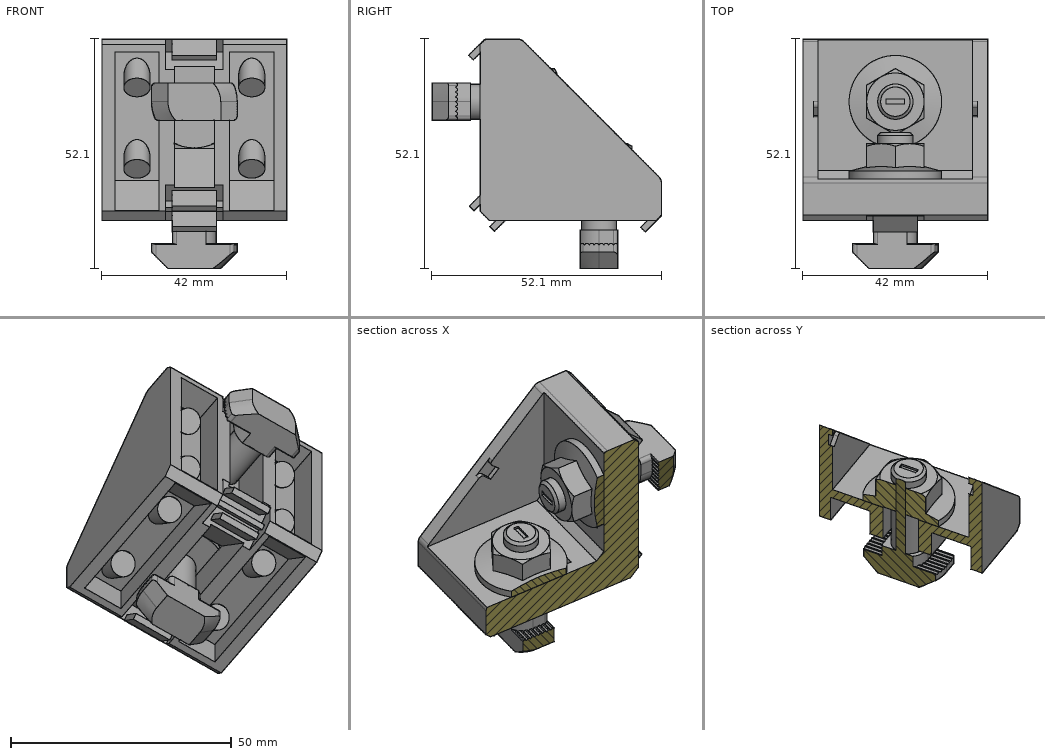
import cadquery as cq
import math


ROOT2 = math.sqrt(2)
CLEAR = 2.6

LEG = 41.2
WIDTH = 42.0
WALL = 9.45
TOE_BLOCK = 9.3
TOE_FILLET = 2.0
TOE_CHAMFER = 1.25
HEEL_CHAMFER = 2.15
CAVITY_HALF_WIDTH = 17.5
CAVITY_CORNER_CHAMFER = 1.95

NOTCH_WIDTH = 3.1
NOTCH_DEPTH = 3.5
NOTCH_SIDE_DEPTH = 1.1
NOTCH_LIP_RADIUS = 1.0

POCKET_WIDTH = 10.0
POCKET_CENTRE_X = 13.0
POCKET_DEPTH = 6.75
POCKET_START = 2.35
POCKET_END = 38.25
PEG_DIAMETER = 6.0
PEG_LENGTH = 10.4
PEGS = [(24.45, 18.3), (11.4, 5.2)]

SLOT_WIDTH = 9.05
SLOT_START = 7.0
SLOT_END = 35.0

TAB_WIDTH = 10.1
TAB_THICKNESS = 1.5
TAB_LENGTH = 5.1
RECESS_WIDTH = 13.0
RECESS_REACH = 10.4
TABS = [(29.8, 27.6, 24.3), (5.7, 3.3, 0.6)]

HEEL_RIDGE = 3.6

BOLT_POSITION = 27.0
SHANK_DIAMETER = 8.0
SHANK_TIP = 20.0
TIP_DIAMETER = 6.65
NECK_TOP = -2.15
NECK_HALF_LENGTH = 5.0
HEAD_TOP = -5.15
HEAD_BOTTOM = LEG - 52.1
HEAD_HALF_LENGTH = 9.75
HEAD_HALF_WIDTH = 4.25
HEAD_CHAMFER = 3.75
CORNER_FILLET = 1.0
TOOTH_PITCH = 1.1
TOOTH_DEPTH = 0.35
TOOTH_GROOVES = 9
MARK_LENGTH = 4.2
MARK_WIDTH = 1.15
MARK_DEPTH = 0.5

FLANGE_DIAMETER = 21.0
FLANGE_RIM = 1.75
FLANGE_SLOPE = 15.0
NUT_HEIGHT = 8.0
NUT_ACROSS_FLATS = 13.0
NUT_CHAMFER_ANGLE = 30.0
HEX_HALF_ANGLE = 30.0


def diagonal_point(along, across):
    """(y, z) of a point measured along and across the diagonal Y = Z from the heel."""
    return ((along - across) / ROOT2, (along + across) / ROOT2)


def diagonal_rectangle(along_start, along_end, across_start, across_end):
    return [
        diagonal_point(along_start, across_start),
        diagonal_point(along_end, across_start),
        diagonal_point(along_end, across_end),
        diagonal_point(along_start, across_end),
    ]


def prism(points, width, centre_x=0.0):
    """Prism along X with a (y, z) outline."""
    solid = cq.Workplane("YZ").polyline(points).close().extrude(width / 2, both=True)
    return solid.translate((centre_x, 0, 0))


def swap(points):
    """Mirror (y, z) points about the diagonal."""
    return [(z, y) for y, z in points]



def bracket_blank():
    toe = LEG - TOE_CHAMFER
    outline = [
        (0, HEEL_CHAMFER), (0, toe), (TOE_CHAMFER, LEG), (TOE_BLOCK, LEG),
        (LEG, TOE_BLOCK), (LEG, TOE_CHAMFER), (toe, 0), (HEEL_CHAMFER, 0),
    ]
    blank = prism(outline, WIDTH)
    for y, z in [(TOE_BLOCK, LEG), (LEG, TOE_BLOCK)]:
        edge = cq.selectors.NearestToPointSelector((0, y, z))
        blank = blank.edges("|X").edges(edge).fillet(TOE_FILLET)
    return blank


def cavity():
    inner = WALL + CAVITY_CORNER_CHAMFER
    outside = LEG + CLEAR
    outline = [(WALL, inner), (WALL, outside), (outside, outside), (outside, WALL), (inner, WALL)]
    return prism(outline, 2 * CAVITY_HALF_WIDTH)


def edge_notch():
    """Slot across the middle of the sloping edge, flared by a rounded lip on both sides."""
    edge = (LEG + TOE_BLOCK) / ROOT2
    half = NOTCH_WIDTH / 2
    lip = NOTCH_LIP_RADIUS
    lip_middle = lip * (1 - math.sqrt(0.5))
    lip_depth = edge - lip
    outer = half + lip
    outline = (
        cq.Workplane("YZ")
        .moveTo(*diagonal_point(edge - NOTCH_DEPTH, -half))
        .lineTo(*diagonal_point(lip_depth, -half))
        .threePointArc(diagonal_point(edge - lip_middle, -half - lip_middle), diagonal_point(edge, -outer))
        .lineTo(*diagonal_point(edge, outer))
        .threePointArc(diagonal_point(edge - lip_middle, half + lip_middle), diagonal_point(lip_depth, half))
        .lineTo(*diagonal_point(edge - NOTCH_DEPTH, half))
        .close()
    )
    return outline.extrude(CAVITY_HALF_WIDTH + NOTCH_SIDE_DEPTH, both=True)


def peg(end, axis, mirrored, centre_x):
    """Peg pointing down and out along the diagonal."""
    y, z = diagonal_point(end, -axis if mirrored else axis)
    solid = cq.Solid.makeCylinder(
        PEG_DIAMETER / 2, PEG_LENGTH, cq.Vector(centre_x, y, z), cq.Vector(0, 1, 1)
    )
    return cq.Workplane(obj=solid)


def side_pocket(mirrored, centre_x):
    """Pocket volume, less the pegs that stay standing in it."""
    outline = [
        (-CLEAR, POCKET_START - CLEAR), (POCKET_DEPTH, POCKET_START + POCKET_DEPTH),
        (POCKET_DEPTH, POCKET_END), (-CLEAR, POCKET_END),
    ]
    pocket = prism(swap(outline) if mirrored else outline, POCKET_WIDTH, centre_x)
    for end, axis in PEGS:
        pocket = pocket.cut(peg(end, axis, mirrored, centre_x))
    return pocket


def bolt_slot(mirrored):
    inside = WALL + CLEAR
    outline = [
        (-CLEAR, SLOT_START - CLEAR), (inside, SLOT_START + inside),
        (inside, SLOT_END), (-CLEAR, SLOT_END),
    ]
    return prism(swap(outline) if mirrored else outline, SLOT_WIDTH)


def tab_recess(floor, side, mirrored):
    outline = diagonal_rectangle(floor - RECESS_REACH, floor, side, side + RECESS_REACH)
    return prism(swap(outline) if mirrored else outline, RECESS_WIDTH)


def heel_relief():
    """Cuts the ridge between the two heel recesses back to a flat."""
    outline = diagonal_rectangle(0, HEEL_RIDGE, -HEEL_RIDGE, HEEL_RIDGE)
    return prism(outline, RECESS_WIDTH)


def tab(floor, middle, mirrored):
    half = TAB_THICKNESS / 2
    outline = diagonal_rectangle(floor - TAB_LENGTH, floor, middle - half, middle + half)
    return prism(swap(outline) if mirrored else outline, TAB_WIDTH)


def make_bracket():
    body = bracket_blank().cut(cavity()).cut(edge_notch())
    for mirrored in (False, True):
        for centre_x in (-POCKET_CENTRE_X, POCKET_CENTRE_X):
            body = body.cut(side_pocket(mirrored, centre_x))
        body = body.cut(bolt_slot(mirrored))
        for floor, _, side in TABS:
            body = body.cut(tab_recess(floor, side, mirrored))
    body = body.cut(heel_relief())
    for mirrored in (False, True):
        for floor, middle, _ in TABS:
            body = body.union(tab(floor, middle, mirrored))
    return body



def quarter_turn_outline(half_length, half_width, z):
    """Bar outline with two opposite corners swept by an arc about the bolt axis."""
    arc_end = math.sqrt(half_length**2 - half_width**2)
    middle = half_length * math.cos(math.asin(half_width / half_length) / 2)
    middle_y = math.sqrt(half_length**2 - middle**2)
    return (
        cq.Workplane("XY", origin=(0, 0, z))
        .moveTo(half_length, 0)
        .lineTo(half_length, half_width)
        .lineTo(-arc_end, half_width)
        .threePointArc((-middle, middle_y), (-half_length, 0))
        .lineTo(-half_length, -half_width)
        .lineTo(arc_end, -half_width)
        .threePointArc((middle, -middle_y), (half_length, 0))
        .close()
    )


def bolt_head():
    height = HEAD_TOP - HEAD_BOTTOM
    bar = quarter_turn_outline(HEAD_HALF_LENGTH, HEAD_HALF_WIDTH, HEAD_BOTTOM).extrude(height)
    tapered = bar.faces("<Z").edges("not |X").chamfer(HEAD_CHAMFER)
    rounded = bar.edges("|Z").edges(">Y or <Y").fillet(CORNER_FILLET)
    head = rounded.intersect(tapered)
    first_groove = -(TOOTH_GROOVES - 1) / 2 * TOOTH_PITCH
    for i in range(TOOTH_GROOVES):
        head = head.cut(tooth_groove(first_groove + i * TOOTH_PITCH))
    return head


def tooth_groove(y):
    """V groove along X in the clamping face of the head."""
    outline = [(y - TOOTH_DEPTH, HEAD_TOP), (y, HEAD_TOP - TOOTH_DEPTH), (y + TOOTH_DEPTH, HEAD_TOP)]
    return prism(outline, 2 * HEAD_HALF_LENGTH + CLEAR)


def bolt_neck():
    """Anti-turn neck, sunk into the head past the groove bottoms."""
    bottom = HEAD_TOP - 2 * TOOTH_DEPTH
    neck = quarter_turn_outline(NECK_HALF_LENGTH, HEAD_HALF_WIDTH, bottom).extrude(NECK_TOP - bottom)
    return neck.edges("|Z").edges(">(1,1,0) or <(1,1,0)").fillet(CORNER_FILLET)


def bolt_shank():
    tip_chamfer = (SHANK_DIAMETER - TIP_DIAMETER) / 2
    base = cq.Workplane("XY", origin=(0, 0, NECK_TOP))
    shank = base.circle(SHANK_DIAMETER / 2).extrude(SHANK_TIP - NECK_TOP)
    shank = shank.faces(">Z").chamfer(tip_chamfer)
    return shank.faces(">Z").workplane().rect(MARK_LENGTH, MARK_WIDTH).cutBlind(-MARK_DEPTH)


def make_bolt():
    return bolt_head().union(bolt_neck()).union(bolt_shank())



def make_nut():
    """Flange nut with its bore along Z, seated on the inner face of the bracket's foot."""
    rim_radius = FLANGE_DIAMETER / 2
    flat_radius = NUT_ACROSS_FLATS / 2
    corner_radius = flat_radius / math.cos(math.radians(HEX_HALF_ANGLE))
    cone_rise = (rim_radius - flat_radius) * math.tan(math.radians(FLANGE_SLOPE))
    chamfer_drop = (corner_radius - flat_radius) * math.tan(math.radians(NUT_CHAMFER_ANGLE))

    flange_profile = [
        (0, 0), (rim_radius, 0), (rim_radius, FLANGE_RIM),
        (flat_radius, FLANGE_RIM + cone_rise), (0, FLANGE_RIM + cone_rise),
    ]
    flange = cq.Workplane("XZ").polyline(flange_profile).close().revolve(360, (0, 0), (0, 1))

    chamfer_profile = [
        (0, 0), (corner_radius, 0), (corner_radius, NUT_HEIGHT - chamfer_drop),
        (flat_radius, NUT_HEIGHT), (0, NUT_HEIGHT),
    ]
    envelope = cq.Workplane("XZ").polyline(chamfer_profile).close().revolve(360, (0, 0), (0, 1))
    hexagon = cq.Workplane("XY").polygon(6, 2 * corner_radius).extrude(NUT_HEIGHT)
    hexagon = hexagon.rotate((0, 0, 0), (0, 0, 1), HEX_HALF_ANGLE).intersect(envelope)

    bore = cq.Workplane("XY").circle(SHANK_DIAMETER / 2).extrude(NUT_HEIGHT)
    nut = flange.union(hexagon).cut(bore)
    return nut.translate((0, 0, WALL))



def place_in_foot(body):
    return body.translate((0, BOLT_POSITION, 0))


def place_in_upright(body):
    """Turns the body's +Z axis to +Y."""
    return body.rotate((0, 0, 0), (1, 0, 0), -90).translate((0, 0, BOLT_POSITION))


bracket = make_bracket()
bolts = []
nuts = []
for place in (place_in_foot, place_in_upright):
    bolts.append(place(make_bolt()).val())
    nuts.append(place(make_nut()).val())

result = cq.Compound.makeCompound([bracket.val(), *bolts, *nuts])